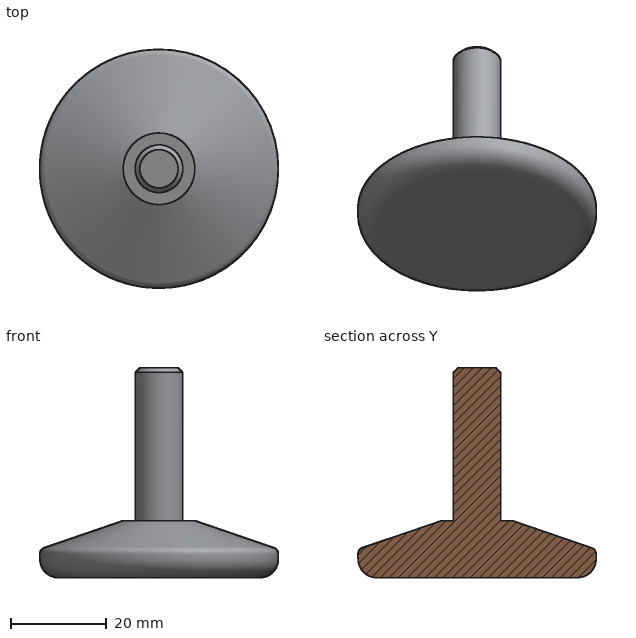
import cadquery as cq

plate_diameter = 50
plate_edge_height = 6
plate_height = 12
plate_top_diameter = 15
bottom_rounding = 4
rim_rounding = 1.5

stud_diameter = 10
total_height = 44
stud_chamfer = 1


def make_plate():
    """Round disc with a conical top, rounded at the rim and underneath."""
    rim = cq.Workplane("XY").circle(plate_diameter / 2).extrude(plate_edge_height)
    cone = (
        cq.Workplane("XY", origin=(0, 0, plate_edge_height))
        .circle(plate_diameter / 2)
        .workplane(offset=plate_height - plate_edge_height)
        .circle(plate_top_diameter / 2)
        .loft(ruled=True)
    )
    blank = rim.union(cone)
    rounded_below = blank.faces("<Z").edges().fillet(bottom_rounding)
    rim_edge = cq.selectors.RadiusNthSelector(-1)
    return rounded_below.edges("%CIRCLE").edges(rim_edge).edges(">Z").fillet(rim_rounding)


def make_stud():
    """Plain cylindrical stud with a chamfered tip."""
    return (
        cq.Workplane("XY", origin=(0, 0, plate_height))
        .circle(stud_diameter / 2)
        .extrude(total_height - plate_height)
        .faces(">Z")
        .chamfer(stud_chamfer)
    )


result = make_plate().union(make_stud())